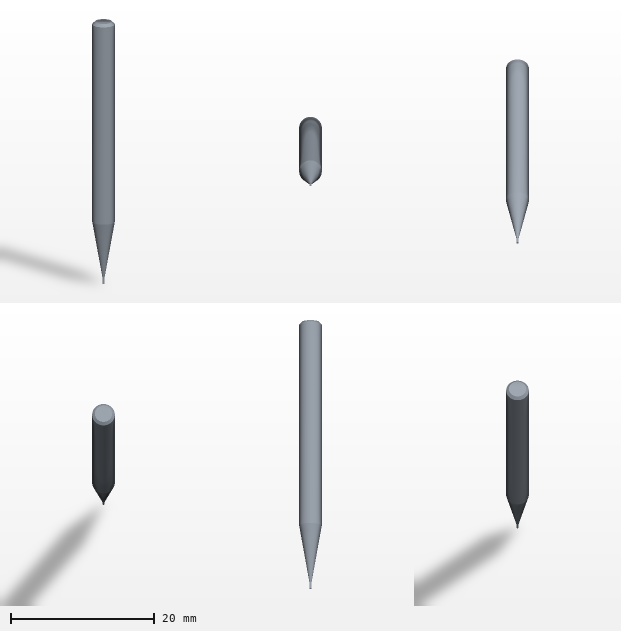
import cadquery as cq

total_length = 38.1
shank_diameter = 3.15
tip_diameter = 0.3

tip_length = 0.9
cone_top = 9.03
chamfer_size = 0.4

shank_radius = shank_diameter / 2
tip_radius = tip_diameter / 2

result = (
    cq.Workplane("XZ")
    .moveTo(0, 0)
    .lineTo(tip_radius, 0)
    .lineTo(tip_radius, tip_length)
    .lineTo(shank_radius, cone_top)
    .lineTo(shank_radius, total_length - chamfer_size)
    .lineTo(shank_radius - chamfer_size, total_length)
    .lineTo(0, total_length)
    .close()
    .revolve(360, (0, 0, 0), (0, 1, 0))
)